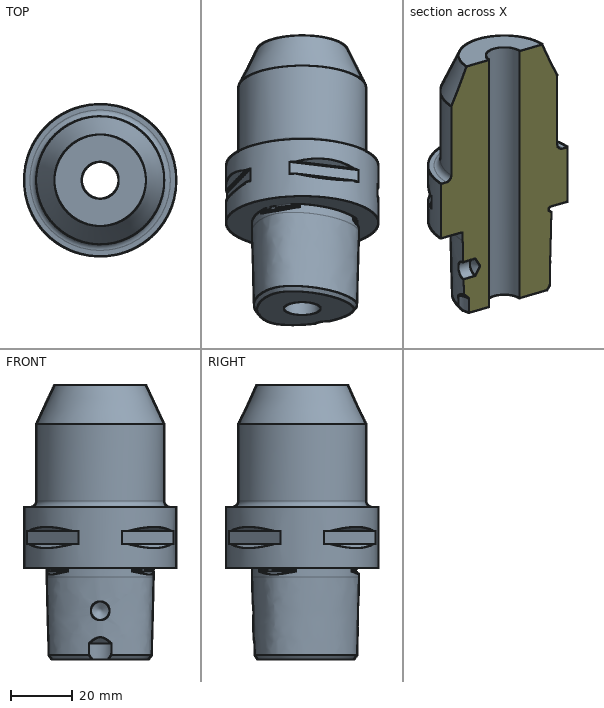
import cadquery as cq
import math

total_height = 90.0
flange_radius = 25.0
flange_height = 20.0
body_radius = 21.0
body_fillet = 2.0
nose_radius = 15.0
nose_angle = 25.0
bore_radius = 6.0

shank_length = 30.0
shank_radius = 17.58
lobe_height = 1.08
lobe_count = 3
outline_samples = 72
straight_length = 3.0
taper_per_side = 1 / 40
tip_chamfer_height = 1.5
tip_chamfer_width = 1.1

relief_radius = 17.65
relief_fillet = 0.5
relief_neck_end = 1.1
relief_outer_radius = 19.0

slot_count = 4
slot_floor = 22.0
slot_height = 4.2
slot_center_z = 10.0
slot_flare_start = 22.9
slot_flare_angle = 33.0

side_hole_diameter = 6.1
side_hole_z = -14.0
side_hole_depth = 5.0
drill_tip_angle = 118.0

keyway_radius = 4.8
keyway_depth = 2.0
keyway_shoulder_z = -24.7

flat_distance = shank_radius - lobe_height
body_top = total_height - shank_length
taper_end_z = tip_chamfer_height - shank_length
tip_radius = shank_radius - taper_per_side * (shank_length - tip_chamfer_height - straight_length)


def make_body():
    nose_height = (body_radius - nose_radius) / math.tan(math.radians(nose_angle))
    fillet_inset = body_fillet * (1 - math.sqrt(0.5))
    profile = (
        cq.Workplane("XZ")
        .lineTo(flange_radius, 0)
        .lineTo(flange_radius, flange_height)
        .lineTo(body_radius + body_fillet, flange_height)
        .threePointArc(
            (body_radius + fillet_inset, flange_height + fillet_inset),
            (body_radius, flange_height + body_fillet),
        )
        .lineTo(body_radius, body_top - nose_height)
        .lineTo(nose_radius, body_top)
        .lineTo(0, body_top)
        .close()
    )
    return profile.revolve(360, (0, 0, 0), (0, 1, 0))


def lobed_outline(mean_radius, z):
    """Constant-width wire with lobes at +Y and 120 degrees either side of it."""
    points = []
    for index in range(outline_samples):
        angle = 2 * math.pi * index / outline_samples - math.pi / 2
        phase = lobe_count * (angle - math.pi / 2)
        support = mean_radius + lobe_height * math.cos(phase)
        slope = -lobe_count * lobe_height * math.sin(phase)
        x = support * math.cos(angle) - slope * math.sin(angle)
        y = support * math.sin(angle) + slope * math.cos(angle)
        points.append(cq.Vector(x, y, z))
    return cq.Wire.assembleEdges([cq.Edge.makeSpline(points, periodic=True)])


def make_shank():
    sections = [
        lobed_outline(tip_radius - tip_chamfer_width, -shank_length),
        lobed_outline(tip_radius, taper_end_z),
        lobed_outline(shank_radius, -straight_length),
        lobed_outline(shank_radius, 0),
    ]
    return cq.Workplane(cq.Solid.makeLoft(sections, True))


def make_lobe_relief():
    """Ring under the flange: corner fillet, short neck, 45 degree run-out."""
    fillet_inset = relief_fillet * (1 - math.sqrt(0.5))
    run_out = relief_outer_radius - relief_radius
    profile = (
        cq.Workplane("XZ")
        .moveTo(relief_radius + relief_fillet, 0)
        .threePointArc(
            (relief_radius + fillet_inset, -fillet_inset),
            (relief_radius, -relief_fillet),
        )
        .lineTo(relief_radius, -relief_neck_end)
        .lineTo(relief_outer_radius, -relief_neck_end - run_out)
        .lineTo(relief_outer_radius, 0)
        .close()
    )
    return profile.revolve(360, (0, 0, 0), (0, 1, 0))


def make_gripper_slot(angle):
    half_height = slot_height / 2
    flare_run = flange_radius - slot_flare_start
    mouth_half_height = half_height + flare_run * math.tan(math.radians(slot_flare_angle))
    profile = (
        cq.Workplane("XZ", origin=(0, flange_radius, slot_center_z))
        .polyline([
            (slot_floor, -half_height),
            (slot_flare_start, -half_height),
            (flange_radius, -mouth_half_height),
            (flange_radius, mouth_half_height),
            (slot_flare_start, half_height),
            (slot_floor, half_height),
        ])
        .close()
    )
    return profile.extrude(2 * flange_radius).rotate((0, 0, 0), (0, 0, 1), angle)


def make_side_hole():
    radius = side_hole_diameter / 2
    tip = radius / math.tan(math.radians(drill_tip_angle / 2))
    floor_y = side_hole_depth - flat_distance
    profile = (
        cq.Workplane("XY", origin=(0, 0, side_hole_z))
        .moveTo(0, -flange_radius)
        .lineTo(radius, -flange_radius)
        .lineTo(radius, floor_y)
        .lineTo(0, floor_y + tip)
        .close()
    )
    return profile.revolve(360, (0, 0, 0), (0, 1, 0))


def make_keyway():
    """Upright round cutter with a 90 degree point, standing off the flat."""
    taper_inset = taper_per_side * (-keyway_shoulder_z - straight_length)
    flat_y = taper_inset - flat_distance
    axis_y = flat_y + keyway_depth - keyway_radius
    profile = (
        cq.Workplane("XZ", origin=(0, axis_y, 0))
        .moveTo(0, -shank_length)
        .lineTo(keyway_radius, -shank_length)
        .lineTo(keyway_radius, keyway_shoulder_z)
        .lineTo(0, keyway_shoulder_z + keyway_radius)
        .close()
    )
    return profile.revolve(360, (0, 0, 0), (0, 1, 0))


shank = make_shank().cut(make_lobe_relief())
shank = shank.cut(make_side_hole()).cut(make_keyway())
result = make_body().union(shank)

for index in range(slot_count):
    result = result.cut(make_gripper_slot((index + 0.5) * 360 / slot_count))

bore = cq.Workplane("XY", origin=(0, 0, -shank_length)).circle(bore_radius).extrude(total_height)
result = result.cut(bore)